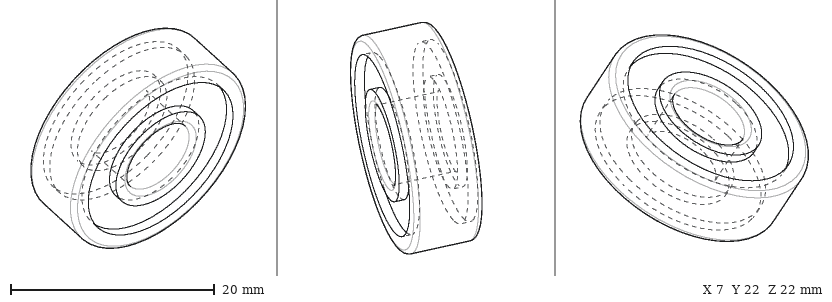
import cadquery as cq

width = 7.0
outer_diameter = 22.0
bore_diameter = 8.0
edge_radius = 0.5

recess_inner_diameter = 11.3
recess_outer_diameter = 18.3
recess_depth = 1.0


def bearing_body():
    """Bored disc with rounded rim and bore edges."""
    disc = (
        cq.Workplane("YZ", origin=(-width / 2, 0, 0))
        .circle(outer_diameter / 2)
        .circle(bore_diameter / 2)
        .extrude(width)
    )
    return disc.edges("%CIRCLE").fillet(edge_radius)


def shield_recess(side):
    """Ring to remove from the face on the given side of the X axis (-1 or 1)."""
    return (
        cq.Workplane("YZ", origin=(side * width / 2, 0, 0))
        .circle(recess_outer_diameter / 2)
        .circle(recess_inner_diameter / 2)
        .extrude(-side * recess_depth)
    )


result = bearing_body()
for face_side in (-1, 1):
    result = result.cut(shield_recess(face_side))